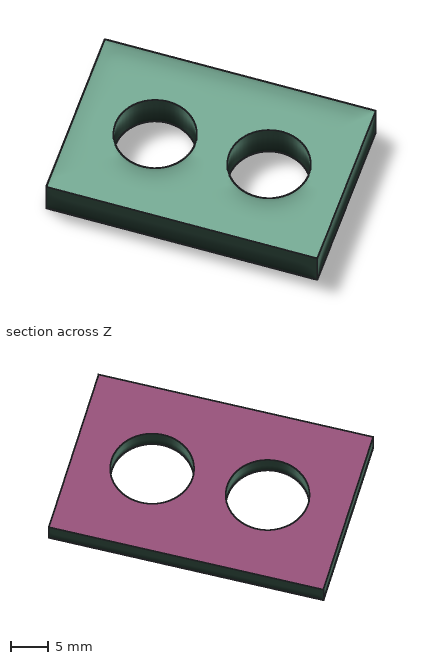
import cadquery as cq

length = 38.1
width = 25.4
thickness = 5.0

hole_diameter = 11.15
hole_spacing = 16.0
hole_pair_offset = 0.15

hole_centres = [
    (hole_pair_offset - hole_spacing / 2, 0),
    (hole_pair_offset + hole_spacing / 2, 0),
]

plate = cq.Workplane("XY").box(length, width, thickness)

result = plate.faces(">Z").workplane(origin=(0, 0, 0)).pushPoints(hole_centres).hole(hole_diameter)